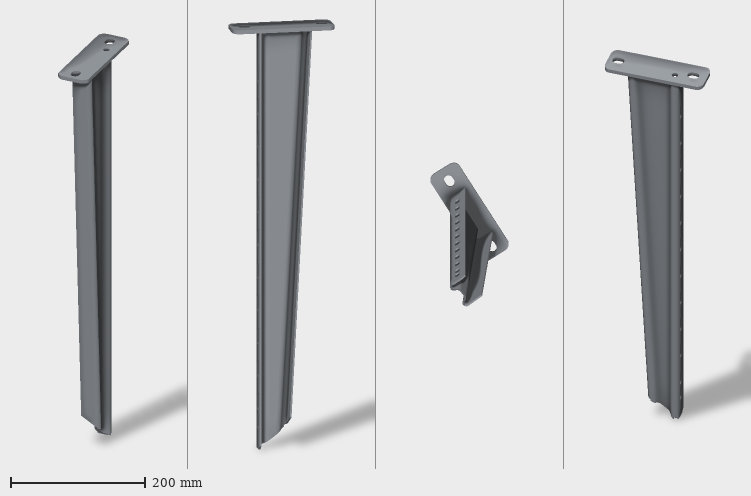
import cadquery as cq
import math

PLATE_X = 50.0
PLATE_Y = 155.0
PLATE_THICKNESS = 6.0
TOTAL_HEIGHT = 646.0
CORNER_RADIUS = 13.0
CORNER_INSET = 11.5
OBLONG_WIDTH = 13.5
OBLONG_LENGTH = 18.0
OBLONG_SPACING = 117.5
OBLONG_PAIR_Y = -2.5
ROUND_HOLE_DIAMETER = 10.0
ROUND_HOLE_X = 7.0
ROUND_HOLE_Y = 30.0

SHEET = 2.5
EDGE_BEND_RADIUS = 4.85
WEB_BEND_RADIUS = 8.0
POST_WIDTH = 29.0
WEB_FACE_X = 2.5
BACK_FACE_Y = 36.0
FRONT_FACE_TOP_Y = -44.0
FRONT_FACE_BOTTOM_Y = -10.0
STEP_TILT = math.radians(32.0)

SLOT_WIDTH = 8.5
SLOT_LENGTH = 26.0
SLOT_X = -1.0
LOWEST_SLOT_Z = 44.0
ROW_BOTTOM_Z = 72.5
ROW_TOP_Z = 573.0
ROW_SLOTS = 11

END_SLOPE = math.tan(math.radians(36.0))
BACK_CORNER_CUT = 6.5
FRONT_TIP_Z = 48.5
FRONT_CUT_SLOPE = math.tan(math.radians(30.0))
FRONT_CUT_INNER_Y = -6.5

POST_HALF_WIDTH = POST_WIDTH / 2
POST_HEIGHT = TOTAL_HEIGHT - PLATE_THICKNESS
BACK_INNER_Y = BACK_FACE_Y - SHEET
CLEARANCE = 6.5


def unit(start, end):
    """Direction from one point to another."""
    length = math.dist(start, end)
    return ((end[0] - start[0]) / length, (end[1] - start[1]) / length)


def along(point, direction, distance):
    return (point[0] + distance * direction[0], point[1] + distance * direction[1])


def offset_corner(corner, before, after, offset):
    """Corner of the parallel line that runs on the left of a folded line."""
    left = (-before[1] - after[1], before[0] + after[0])
    alignment = before[0] * after[0] + before[1] * after[1]
    return along(corner, left, offset / (1 + alignment))


def sheet_face(outline, fold_line):
    """Add the face on the left of the fold line, with its bends, up to the last point."""
    offset = SHEET / 2
    for previous, corner, following in zip(fold_line, fold_line[1:], fold_line[2:]):
        before = unit(previous, corner)
        after = unit(corner, following)
        turn = math.acos(before[0] * after[0] + before[1] * after[1])
        turns_left = before[0] * after[1] > before[1] * after[0]
        middle_radius = EDGE_BEND_RADIUS if turn > math.pi / 2 else WEB_BEND_RADIUS
        radius = middle_radius - offset if turns_left else middle_radius + offset
        sharp = offset_corner(corner, before, after, offset)
        setback = radius * math.tan(turn / 2)
        bend_start = along(sharp, before, -setback)
        bend_middle = along(sharp, unit(before, after), radius / math.cos(turn / 2) - radius)
        bend_end = along(sharp, after, setback)
        outline = outline.lineTo(*bend_start).threePointArc(bend_middle, bend_end)
    last = unit(*fold_line[-2:])
    return outline.lineTo(*offset_corner(fold_line[-1], last, last, offset))


def half_fold_line(face_y, inward):
    """Middle line of the sheet from a flange's free edge to the web; inward is +1 or -1 along Y.

    The flange and the step are extended to the sharp point where they would meet.
    """
    turn = math.pi - STEP_TILT
    flange_y = face_y + inward * SHEET / 2
    web_x = WEB_FACE_X + SHEET / 2
    bend_centre_x = POST_HALF_WIDTH - SHEET / 2 - EDGE_BEND_RADIUS
    meeting_x = bend_centre_x + EDGE_BEND_RADIUS * math.tan(turn / 2)
    step_y = flange_y + inward * (meeting_x - web_x) * math.tan(STEP_TILT)
    return [(-POST_HALF_WIDTH, flange_y), (meeting_x, flange_y), (web_x, step_y)]


def post_section(outline, front_face_y):
    """Closed outline of the folded sheet for a given position of the front face."""
    back = half_fold_line(BACK_FACE_Y, -1)
    front = half_fold_line(front_face_y, 1)
    fold_line = back + front[::-1]
    first = unit(*fold_line[:2])
    outline = outline.moveTo(*offset_corner(fold_line[0], first, first, SHEET / 2))
    outline = sheet_face(outline, fold_line)
    last = unit(*fold_line[-2:])
    outline = outline.lineTo(*offset_corner(fold_line[-1], last, last, -SHEET / 2))
    return sheet_face(outline, fold_line[::-1]).close()


def tapered_post():
    bottom = post_section(cq.Workplane("XY"), FRONT_FACE_BOTTOM_Y)
    both_ends = post_section(bottom.workplane(offset=POST_HEIGHT), FRONT_FACE_TOP_Y)
    return both_ends.loft(ruled=True, combine=True)


def slot_cutter():
    """Upright slots through the back flange."""
    pitch = (ROW_TOP_Z - ROW_BOTTOM_Z) / (ROW_SLOTS - 1)
    heights = [LOWEST_SLOT_Z] + [ROW_BOTTOM_Z + i * pitch for i in range(ROW_SLOTS)]
    return (
        cq.Workplane("XZ", origin=(0, BACK_FACE_Y, 0))
        .pushPoints([(SLOT_X, z) for z in heights])
        .slot2D(SLOT_LENGTH, SLOT_WIDTH, 90)
        .extrude(SHEET)
    )


def slanted_end_cutter():
    """Wedge that makes the lower end rise from the back flange to the front."""
    reach = BACK_INNER_Y - FRONT_FACE_BOTTOM_Y + CLEARANCE
    return (
        cq.Workplane("YZ")
        .polyline([
            (BACK_INNER_Y, 0),
            (BACK_INNER_Y - reach, 0),
            (BACK_INNER_Y - reach, reach * END_SLOPE),
        ])
        .close()
        .extrude(POST_HALF_WIDTH + CLEARANCE, both=True)
    )


def front_flange_cutter():
    """Wedge that raises the bottom of the front flange towards its free edge."""
    left = -POST_HALF_WIDTH - CLEARANCE
    left_z = FRONT_TIP_Z + CLEARANCE * FRONT_CUT_SLOPE
    return (
        cq.Workplane("XZ", origin=(0, FRONT_CUT_INNER_Y, 0))
        .polyline([(left, 0), (left, left_z), (left + left_z / FRONT_CUT_SLOPE, 0)])
        .close()
        .extrude(FRONT_CUT_INNER_Y - FRONT_FACE_BOTTOM_Y + CLEARANCE)
    )


def back_corner_cutter(side):
    """Prism that bevels one lower corner of the back flange; side is -1 or +1 along X."""
    edge = side * POST_HALF_WIDTH
    return (
        cq.Workplane("XZ", origin=(0, BACK_FACE_Y, 0))
        .polyline([(edge, 0), (edge - side * BACK_CORNER_CUT, 0), (edge, BACK_CORNER_CUT)])
        .close()
        .extrude(EDGE_BEND_RADIUS + SHEET / 2)
    )


def make_post():
    post = tapered_post().cut(slot_cutter()).cut(slanted_end_cutter()).cut(front_flange_cutter())
    for side in (-1, 1):
        post = post.cut(back_corner_cutter(side))
    return post


def plate_blank():
    """Rectangle with four corner arcs that run smoothly into the end edges."""
    side = PLATE_X / 2
    end = PLATE_Y / 2
    arc_x = side - CORNER_INSET
    arc_y = end - CORNER_RADIUS
    sweep = math.asin(CORNER_INSET / CORNER_RADIUS)
    middle_x = arc_x + CORNER_RADIUS * math.sin(sweep / 2)
    middle_y = arc_y + CORNER_RADIUS * math.cos(sweep / 2)
    side_y = arc_y + CORNER_RADIUS * math.cos(sweep)
    return (
        cq.Workplane("XY", origin=(0, 0, POST_HEIGHT))
        .moveTo(-arc_x, end)
        .lineTo(arc_x, end)
        .threePointArc((middle_x, middle_y), (side, side_y))
        .lineTo(side, -side_y)
        .threePointArc((middle_x, -middle_y), (arc_x, -end))
        .lineTo(-arc_x, -end)
        .threePointArc((-middle_x, -middle_y), (-side, -side_y))
        .lineTo(-side, side_y)
        .threePointArc((-middle_x, middle_y), (-arc_x, end))
        .close()
        .extrude(PLATE_THICKNESS)
    )


def make_plate():
    return (
        plate_blank()
        .faces(">Z")
        .workplane(origin=(0, 0, TOTAL_HEIGHT))
        .pushPoints([(0, OBLONG_PAIR_Y + side * OBLONG_SPACING / 2) for side in (-1, 1)])
        .slot2D(OBLONG_LENGTH, OBLONG_WIDTH, 90)
        .cutThruAll()
        .pushPoints([(ROUND_HOLE_X, ROUND_HOLE_Y)])
        .hole(ROUND_HOLE_DIAMETER)
    )


plate = make_plate()
post = make_post()

result = cq.Compound.makeCompound([plate.val(), post.val()])